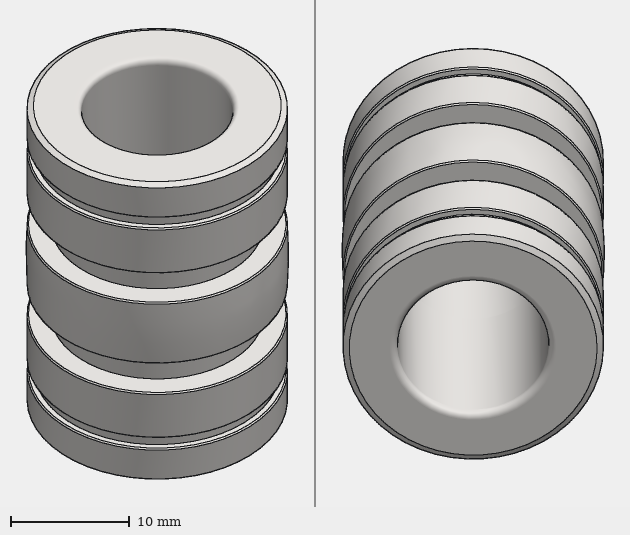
import cadquery as cq

LENGTH = 31.55
HALF_LENGTH = LENGTH / 2
LAND_RADIUS = 10.98
BORE_RADIUS = 6.38
BORE_ROUND = 0.63

LEAD_IN_WIDTH = 0.55
LEAD_IN_HEIGHT = 0.25

SEAL_GROOVE_RADIUS = 10.38
SEAL_GROOVE_INNER_Z = 11.17
SEAL_GROOVE_OUTER_Z = 12.3
NECK_RADIUS = 9.0
NECK_HALF_LENGTH = 6.38

EDGE_BREAK = 0.13

RING_HALF_LENGTH = 3.25
CROWN_RADIUS = 11.08


def groove_cutter(floor_radius, bottom, top):
    """Tube that cuts a groove and chamfers the land edges on both sides of it."""
    rim_radius = LAND_RADIUS + EDGE_BREAK
    profile = [
        (floor_radius, bottom),
        (LAND_RADIUS - EDGE_BREAK, bottom),
        (rim_radius, bottom - 2 * EDGE_BREAK),
        (rim_radius, top + 2 * EDGE_BREAK),
        (LAND_RADIUS - EDGE_BREAK, top),
        (floor_radius, top),
    ]
    return cq.Workplane("XZ").polyline(profile).close().revolve(360, (0, 0, 0), (0, 1, 0))


def make_sleeve():
    """Bored sleeve with tapered ends, two seal grooves and a wide neck."""
    face_radius = LAND_RADIUS - LEAD_IN_WIDTH
    shoulder_z = HALF_LENGTH - LEAD_IN_HEIGHT
    profile = [
        (0, -HALF_LENGTH),
        (face_radius, -HALF_LENGTH),
        (LAND_RADIUS, -shoulder_z),
        (LAND_RADIUS, shoulder_z),
        (face_radius, HALF_LENGTH),
        (0, HALF_LENGTH),
    ]
    blank = cq.Workplane("XZ").polyline(profile).close().revolve(360, (0, 0, 0), (0, 1, 0))
    bore = cq.Workplane("XY").circle(BORE_RADIUS).extrude(HALF_LENGTH, both=True)
    bore_edges = cq.selectors.RadiusNthSelector(0)
    body = blank.cut(bore).faces("|Z").edges(bore_edges).fillet(BORE_ROUND)

    body = body.cut(groove_cutter(SEAL_GROOVE_RADIUS, SEAL_GROOVE_INNER_Z, SEAL_GROOVE_OUTER_Z))
    body = body.cut(groove_cutter(SEAL_GROOVE_RADIUS, -SEAL_GROOVE_OUTER_Z, -SEAL_GROOVE_INNER_Z))
    return body.cut(groove_cutter(NECK_RADIUS, -NECK_HALF_LENGTH, NECK_HALF_LENGTH))


def make_crowned_ring():
    """Ring with a barrel-shaped outside that fits the neck of the sleeve."""
    rim_z = RING_HALF_LENGTH - EDGE_BREAK
    face_radius = LAND_RADIUS - EDGE_BREAK
    return (
        cq.Workplane("XZ")
        .moveTo(NECK_RADIUS, -RING_HALF_LENGTH)
        .lineTo(face_radius, -RING_HALF_LENGTH)
        .lineTo(LAND_RADIUS, -rim_z)
        .threePointArc((CROWN_RADIUS, 0), (LAND_RADIUS, rim_z))
        .lineTo(face_radius, RING_HALF_LENGTH)
        .lineTo(NECK_RADIUS, RING_HALF_LENGTH)
        .close()
        .revolve(360, (0, 0, 0), (0, 1, 0))
    )


sleeve = make_sleeve()
crowned_ring = make_crowned_ring()

result = cq.Compound.makeCompound([sleeve.val(), crowned_ring.val()])